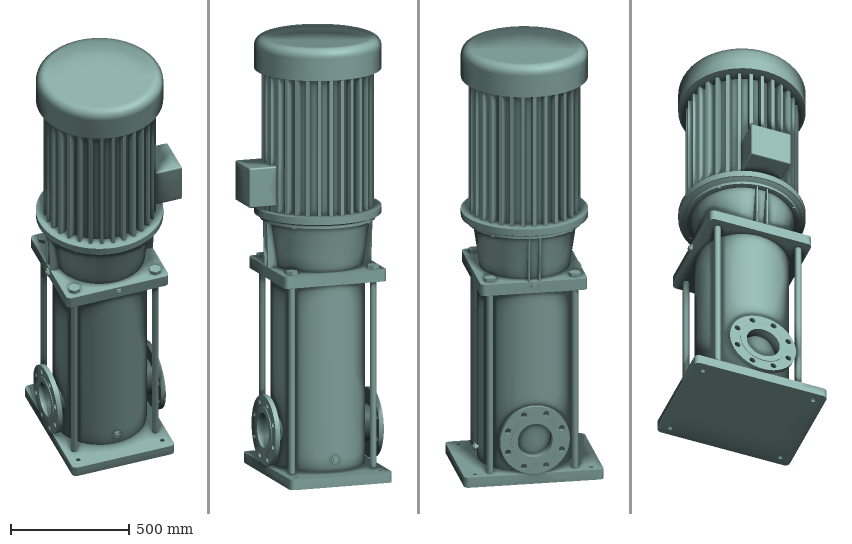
import cadquery as cq


base_top = 45.0
port_height = 200.0
drain_height = 98.0
head_bottom = 858.0
head_top = 908.0
lantern_top = 1107.0
spigot_top = 1120.0
motor_flange_bottom = 1130.0
motor_flange_top = 1159.0
cowl_bottom = 1754.0
total_height = 1891.0

base_length = 600.0
plate_width = 460.0
plate_corner_radius = 20.0
base_hole_diameter = 20.0
base_hole_spacing_x = 500.0
base_hole_spacing_y = 380.0

hexagon_sides = 6
barrel_radius = 200.0
rod_offset = 183.0
rod_diameter = 28.0
nut_across_corners = 53.0
nut_turn = 45.0
nut_height = 16.0

port_bore = 150.0
port_pipe_diameter = 158.0
port_flange_diameter = 300.0
port_flange_thickness = 21.0
port_face_diameter = 203.0
port_face_height = 3.0
port_face_distance = 246.5
port_bolt_circle = 250.0
port_bolt_hole = 26.0
port_bolt_count = 8

plug_across_corners = 36.0
plug_hex_height = 7.0
plug_stem_diameter = 20.0
plug_stem_height = 6.0
plug_thread_length = 10.0
drain_neck_height = 9.0

lantern_bottom_radius = 192.0
lantern_top_radius = 221.5
rib_bottom_reach = 232.0
rib_top_reach = 238.0
rib_gap = 40.0
rib_thickness = 6.0
flange_bolt_diameter = 14.0
flange_bolt_offset = 168.0
flange_bolt_drop = 5.0

motor_radius = 270.0
flange_chamfer_radius = 266.0
spigot_radius = 245.0
cowl_round = 40.0
fin_count = 30
fin_tip_radius = 238.0
fin_root_radius = 204.0
fin_thickness = 14.0

box_width = 180.0
box_bottom = 1187.0
box_top = 1359.0
box_reach = 340.0
box_round = 7.0


def plate(length, bottom, top):
    """Plate with rounded corners, centred on the pump axis."""
    blank = cq.Workplane("XY").workplane(offset=bottom).rect(length, plate_width).extrude(top - bottom)
    return blank.edges("|Z").fillet(plate_corner_radius)


def cylinder(radius, bottom, top):
    return cq.Workplane("XY").workplane(offset=bottom).circle(radius).extrude(top - bottom)


def turned(body, angle):
    return body.rotate((0, 0, 0), (0, 0, 1), angle)


def base_plate():
    """Base plate with four anchor holes."""
    holes = (
        cq.Workplane("XY")
        .rect(base_hole_spacing_x, base_hole_spacing_y, forConstruction=True)
        .vertices()
        .circle(base_hole_diameter / 2)
        .extrude(base_top)
    )
    return plate(base_length, 0, base_top).cut(holes)


def tie_rods():
    """Four rods from base plate to head plate, each with a hexagon nut on top."""
    rod = cylinder(rod_diameter / 2, base_top, head_top)
    nut = cq.Workplane("XY").workplane(offset=head_top).polygon(hexagon_sides, nut_across_corners)
    nut = nut.extrude(nut_height)
    stud = rod.union(turned(nut, nut_turn))
    rods = cq.Workplane("XY")
    for x in (-rod_offset, rod_offset):
        for y in (-rod_offset, rod_offset):
            rods = rods.union(stud.translate((x, y, 0)))
    return rods


def port():
    """Flanged pipe on the -Y side of the barrel, its bore ending at the barrel wall."""
    back_of_face = port_face_distance - port_face_height
    back_of_flange = back_of_face - port_flange_thickness

    def disc(diameter, start, end):
        return cq.Workplane("XZ", origin=(0, -start, port_height)).circle(diameter / 2).extrude(end - start)

    bolt_holes = (
        cq.Workplane("XZ", origin=(0, -back_of_flange, port_height))
        .polarArray(port_bolt_circle / 2, 180 / port_bolt_count, 360, port_bolt_count)
        .circle(port_bolt_hole / 2)
        .extrude(port_flange_thickness + port_face_height)
    )
    return (
        disc(port_pipe_diameter, 0, back_of_flange)
        .union(disc(port_flange_diameter, back_of_flange, back_of_face))
        .union(disc(port_face_diameter, back_of_face, port_face_distance))
        .cut(bolt_holes)
        .cut(disc(port_bore, 0, port_face_distance))
    )


def plug(neck_height):
    """Screw plug along +X, seated at the origin: thread below it, then neck, hexagon and stem."""
    stem_length = plug_thread_length + neck_height + plug_hex_height + plug_stem_height
    stem = cq.Workplane("YZ", origin=(-plug_thread_length, 0, 0))
    stem = stem.circle(plug_stem_diameter / 2).extrude(stem_length)
    hexagon = cq.Workplane("YZ", origin=(neck_height, 0, 0)).polygon(hexagon_sides, plug_across_corners)
    return stem.union(hexagon.extrude(plug_hex_height))


def plugs():
    """Drain plugs low on both sides of the barrel, vent plugs on two sides of the head plate."""
    drain = plug(drain_neck_height).translate((barrel_radius, 0, drain_height))
    vent = plug(0).translate((plate_width / 2, 0, (head_bottom + head_top) / 2))
    return drain.union(turned(drain, 180)).union(vent).union(turned(vent, -90))


def lantern():
    """Conical lantern with a pair of thin ribs on the -Y and +Y sides."""
    cone = (
        cq.Workplane("XY")
        .workplane(offset=head_top)
        .circle(lantern_bottom_radius)
        .workplane(offset=lantern_top - head_top)
        .circle(lantern_top_radius)
        .loft(ruled=True)
    )
    rib_side = [
        (0, head_top),
        (rib_bottom_reach, head_top),
        (rib_top_reach, lantern_top),
        (0, lantern_top),
    ]
    rib = cq.Workplane("XZ", origin=(0, rib_thickness / 2, 0))
    rib = rib.polyline(rib_side).close().extrude(rib_thickness)
    rib_offset = (rib_gap + rib_thickness) / 2
    rib_pair = rib.translate((0, -rib_offset, 0)).union(rib.translate((0, rib_offset, 0)))
    bolts = (
        cq.Workplane("XY")
        .workplane(offset=lantern_top - flange_bolt_drop)
        .rect(2 * flange_bolt_offset, 2 * flange_bolt_offset, forConstruction=True)
        .vertices()
        .circle(flange_bolt_diameter / 2)
        .extrude(flange_bolt_drop)
    )
    return cone.union(turned(rib_pair, 90)).union(turned(rib_pair, -90)).union(bolts)


def motor_body():
    """Flange, core and rounded fan cowl as one turned profile."""
    return (
        cq.Workplane("XZ")
        .moveTo(0, lantern_top)
        .lineTo(spigot_radius, lantern_top)
        .lineTo(spigot_radius, spigot_top)
        .lineTo(flange_chamfer_radius, motor_flange_bottom)
        .lineTo(motor_radius, motor_flange_bottom)
        .lineTo(motor_radius, motor_flange_top)
        .lineTo(fin_root_radius, motor_flange_top)
        .lineTo(fin_root_radius, cowl_bottom)
        .lineTo(motor_radius, cowl_bottom)
        .lineTo(motor_radius, total_height - cowl_round)
        .radiusArc((motor_radius - cowl_round, total_height), -cowl_round)
        .lineTo(0, total_height)
        .close()
        .revolve(360, (0, 0, 0), (0, 1, 0))
    )


def cooling_fins():
    """Radial fins around the motor core, made as bars that each form two opposite fins."""
    bar = (
        cq.Workplane("XY")
        .workplane(offset=motor_flange_top)
        .rect(fin_thickness, 2 * fin_tip_radius)
        .extrude(cowl_bottom - motor_flange_top)
    )
    fins = bar
    for index in range(1, fin_count // 2):
        fins = fins.union(turned(bar, 360 / fin_count * index))
    return fins


def terminal_box():
    """Rounded box on the +Y side of the motor, its inner end buried in the core."""
    inner_end = fin_root_radius / 2
    block = (
        cq.Workplane("XZ", origin=(0, inner_end, (box_bottom + box_top) / 2))
        .rect(box_width, box_top - box_bottom)
        .extrude(inner_end - box_reach)
    )
    return block.edges("|Y or >Y").fillet(box_round)


front_port = port()
barrel = cylinder(barrel_radius, base_top, head_bottom)

result = (
    base_plate()
    .union(front_port)
    .union(turned(front_port, 180))
    .union(barrel)
    .union(plate(plate_width, head_bottom, head_top))
    .union(tie_rods())
    .union(plugs())
    .union(lantern())
    .union(motor_body())
    .union(cooling_fins())
    .union(terminal_box())
)